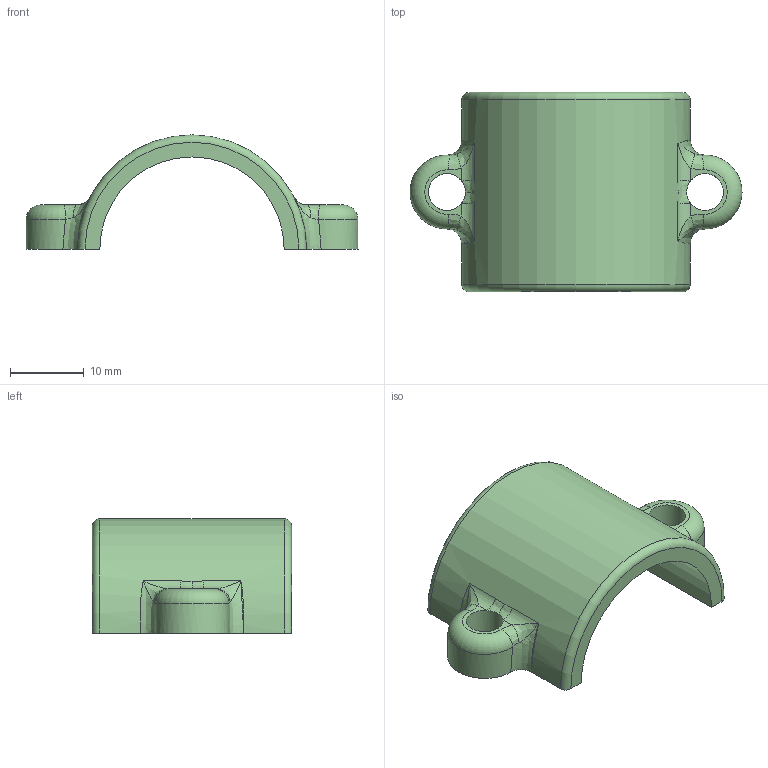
import cadquery as cq
bore_radius = 12.5
wall = 3.0
outer_radius = bore_radius + wall
length = 27.0
rim_fillet = 1.0

overall_width = 45.0
ear_radius = 5.0
ear_height = 6.0
ear_offset = overall_width / 2 - ear_radius
hole_radius = 2.5

top_fillet = 2.0
root_relief = 0.001
root_fillet = top_fillet - root_relief


def half_cylinder(radius):
    """Solid half cylinder along Y, standing on the Z = 0 plane."""
    return (
        cq.Workplane("XZ")
        .moveTo(-radius, 0)
        .threePointArc((0, radius), (radius, 0))
        .close()
        .extrude(length / 2, both=True)
    )


def ear_posts(radius, height):
    """Upright cylinders, one on the axis of each ear."""
    return (
        cq.Workplane("XY")
        .pushPoints([(-ear_offset, 0), (ear_offset, 0)])
        .circle(radius)
        .extrude(height)
    )


def round_rims(body):
    """Round the outer edge of the tube at both ends."""
    return body.faces("<Y or >Y").edges("%CIRCLE").fillet(rim_fillet)


def drill_ears(body):
    """Cut a vertical screw hole through each ear, running on past the ear top."""
    return body.cut(ear_posts(hole_radius, outer_radius))


def blend_ear_roots(body):
    """Blend the top and the two sides of each ear into the outside of the tube."""
    margin = root_fillet / 2
    root_zone = cq.selectors.BoxSelector(
        (-outer_radius, -ear_radius, margin),
        (outer_radius, ear_radius, ear_height + margin),
    )
    return body.edges(root_zone).fillet(root_fillet)


def round_ear_tops(body):
    """Round the top edge of each ear, from its tip up to the root blend."""
    tip_arcs = body.edges("%CIRCLE and (not <Z)").edges("<X or >X")
    rounded = tip_arcs.fillet(top_fillet)
    return cq.Workplane(rounded.val().fix())


body = half_cylinder(outer_radius).union(ear_posts(ear_radius, ear_height))
body = round_rims(body)
body = drill_ears(body)
body = blend_ear_roots(body)
body = round_ear_tops(body)
result = body.cut(half_cylinder(bore_radius))